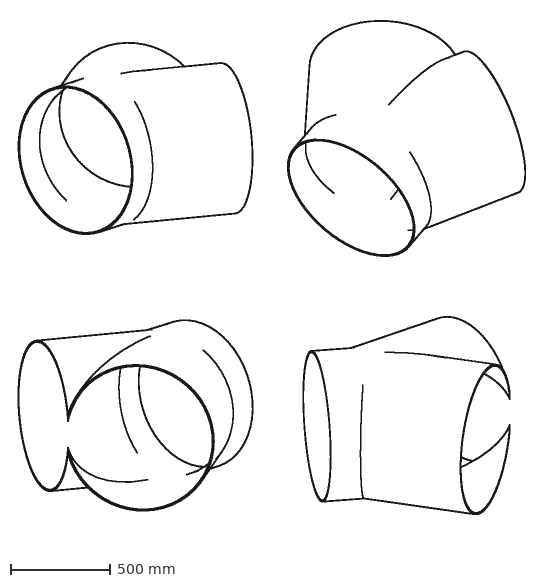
import cadquery as cq
import math

outer_diameter = 762.0
inner_diameter = 746.15
outer_radius = outer_diameter / 2

inlet_length = 254.0
branch_length = 635.0
branch_angle = 30.0

miter_slope = math.tan(math.radians(branch_angle / 2))

trim_reach = 2 * outer_radius
trim_end_y = inlet_length + 2 * branch_length
miter_y_at_reach = inlet_length - trim_reach * miter_slope

junction = (0, inlet_length)


def tube(start, direction, length):
    """Straight open pipe in the XY plane."""
    end_plane = cq.Plane(origin=start, xDir=(0, 0, 1), normal=direction)
    return (
        cq.Workplane(end_plane)
        .circle(outer_radius)
        .circle(inner_diameter / 2)
        .extrude(length)
    )


def trim_region(points):
    """Prism over an XY outline, taller than the pipes."""
    return cq.Workplane("XY").polyline(points).close().extrude(outer_diameter, both=True)


def make_inlet():
    """Inlet pipe with its far end mitred to a point on both sides."""
    pipe = tube((0, 0, 0), (0, 1, 0), inlet_length)
    region = trim_region([
        (-trim_reach, 0),
        (trim_reach, 0),
        (trim_reach, miter_y_at_reach),
        junction,
        (-trim_reach, miter_y_at_reach),
    ])
    return pipe.intersect(region)


def make_right_branch():
    """Branch on the +X side, trimmed at the inlet miter and at the X = 0 plane."""
    angle = math.radians(branch_angle)
    direction = (math.sin(angle), math.cos(angle), 0)
    lead_in = outer_radius
    start = (-lead_in * direction[0], inlet_length - lead_in * direction[1], 0)
    pipe = tube(start, direction, lead_in + branch_length)
    region = trim_region([
        junction,
        (trim_reach, miter_y_at_reach),
        (trim_reach, trim_end_y),
        (0, trim_end_y),
    ])
    return pipe.intersect(region)


right_branch = make_right_branch()
left_branch = right_branch.mirror("YZ")
result = make_inlet().union(right_branch).union(left_branch)